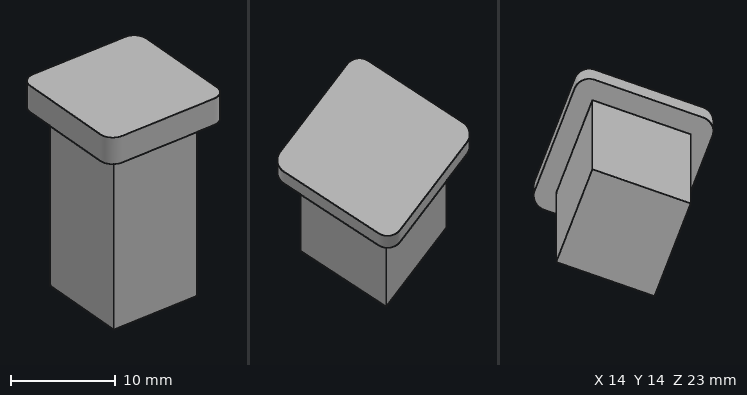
import cadquery as cq

total_height = 23.0
head_width = 14.0

head_height = 3.0
head_corner_radius = 1.5

shank_width = 10.0
shank_height = total_height - head_height

shank = cq.Workplane("XY").rect(shank_width, shank_width).extrude(shank_height)

head = (
    cq.Workplane("XY")
    .workplane(offset=shank_height)
    .rect(head_width, head_width)
    .extrude(head_height)
    .edges("|Z")
    .fillet(head_corner_radius)
)

result = shank.union(head)